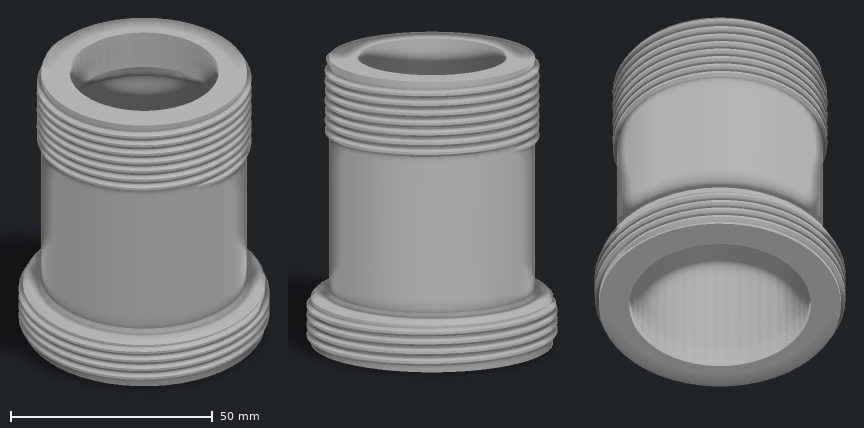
import cadquery as cq
import math

HEIGHT = 73.0

TUBE_RADIUS = 51.0 / 2
COLLAR_RADIUS = 60.0 / 2
COLLAR_HEIGHT = 13.0
COLLAR_CHAMFER = 1.0
NECK_CHAMFER = 1.0

MOUTH_RADIUS = 37.0 / 2
CHAMBER_RADIUS = 45.0 / 2
MOUTH_DEPTH = 10.0
FLARE_DEPTH = 15.0

PITCH = 2.5
TOOTH_HEIGHT = 1.09
ROOT_WIDTH = 0.8 * PITCH
CREST_WIDTH = 0.25 * PITCH
TOOTH_OVERLAP = 0.3
RUNOUT_ANGLE = 22.5
RUNOUT_SWEEP = 45.0

TUBE_THREAD_TURNS = 7.5
TUBE_THREAD_START_ANGLE = 0.0
TUBE_THREAD_START_Z = 53.0
COLLAR_THREAD_TURNS = 3.75
COLLAR_THREAD_START_ANGLE = 90.0
COLLAR_THREAD_START_Z = 1.38


def make_sleeve():
    """Tube, collar and bore as one turned profile in the XZ plane."""
    flare_z = HEIGHT - FLARE_DEPTH
    mouth_z = HEIGHT - MOUTH_DEPTH
    profile = (
        cq.Workplane("XZ")
        .moveTo(CHAMBER_RADIUS, 0)
        .lineTo(COLLAR_RADIUS, 0)
        .lineTo(COLLAR_RADIUS, COLLAR_HEIGHT - COLLAR_CHAMFER)
        .lineTo(COLLAR_RADIUS - COLLAR_CHAMFER, COLLAR_HEIGHT)
        .lineTo(TUBE_RADIUS + NECK_CHAMFER, COLLAR_HEIGHT)
        .lineTo(TUBE_RADIUS, COLLAR_HEIGHT + NECK_CHAMFER)
        .lineTo(TUBE_RADIUS, HEIGHT)
        .lineTo(MOUTH_RADIUS, HEIGHT)
        .lineTo(MOUTH_RADIUS, mouth_z)
        .lineTo(CHAMBER_RADIUS, flare_z)
        .close()
    )
    return profile.revolve(360, (0, 0, 0), (0, 1, 0))


def tooth_profile(wall_radius):
    """Trapezoidal tooth in the XZ plane, its flanks carried on a little way into the wall."""
    crest_radius = wall_radius + TOOTH_HEIGHT
    sunk_radius = wall_radius - TOOTH_OVERLAP
    half_crest = CREST_WIDTH / 2
    flank_slope = (ROOT_WIDTH - CREST_WIDTH) / 2 / TOOTH_HEIGHT
    half_sunk_root = ROOT_WIDTH / 2 + TOOTH_OVERLAP * flank_slope
    return (
        cq.Workplane("XZ")
        .moveTo(sunk_radius, -half_sunk_root)
        .lineTo(crest_radius, -half_crest)
        .lineTo(crest_radius, half_crest)
        .lineTo(sunk_radius, half_sunk_root)
        .close()
    )


def make_runout(wall_radius, backward):
    """Tooth in the XZ plane, turned about an off-centre upright axis so that it dips into the wall.

    The axis is placed so that the crest meets the wall at RUNOUT_ANGLE.
    A backward run-out turns clockwise, any other counterclockwise.
    """
    crest_radius = wall_radius + TOOTH_HEIGHT
    meeting_x = wall_radius * math.cos(math.radians(RUNOUT_ANGLE))
    axis_x = (crest_radius**2 - wall_radius**2) / (2 * (crest_radius - meeting_x))
    axis_direction = -1 if backward else 1
    return tooth_profile(wall_radius).revolve(RUNOUT_SWEEP, (axis_x, 0), (axis_x, axis_direction))


def make_thread(wall_radius, turns, start_angle, start_z):
    """Pieces of a right-hand thread: the helical ridge and a run-out at each end."""
    rise = turns * PITCH
    helix = cq.Workplane(cq.Wire.makeHelix(PITCH, rise, wall_radius))
    ridge = tooth_profile(wall_radius).sweep(helix, isFrenet=True)
    lower_end = make_runout(wall_radius, backward=True)
    upper_end = (
        make_runout(wall_radius, backward=False)
        .rotate((0, 0, 0), (0, 0, 1), 360 * turns)
        .translate((0, 0, rise))
    )
    return [
        piece.rotate((0, 0, 0), (0, 0, 1), start_angle).translate((0, 0, start_z))
        for piece in (ridge, lower_end, upper_end)
    ]


tube_thread = make_thread(TUBE_RADIUS, TUBE_THREAD_TURNS, TUBE_THREAD_START_ANGLE, TUBE_THREAD_START_Z)
collar_thread = make_thread(
    COLLAR_RADIUS, COLLAR_THREAD_TURNS, COLLAR_THREAD_START_ANGLE, COLLAR_THREAD_START_Z
)

result = make_sleeve()
for piece in tube_thread + collar_thread:
    result = result.union(piece)